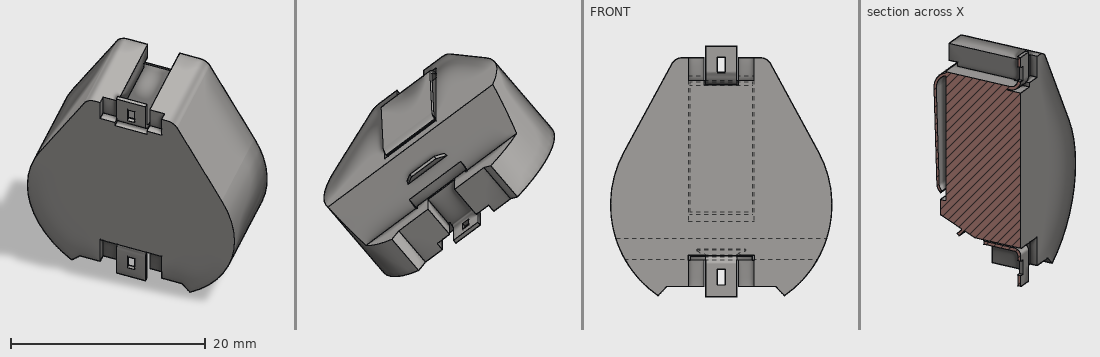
import cadquery as cq
import math


body_width = 22.76
round_radius = body_width / 2
round_centre_z = 9.45
body_depth = 9.5
body_top = 24.6
flank_angle = 28.5
shoulder_radius = 1.3
foot_z = 1.05
foot_half_width = 5.6
horn_tip_x = 6.5

slab_depth = 4.4
slope_low_z = 3.85
slope_high_z = 5.98

tab_sheet = 0.4
spring_sheet = 0.34
tab_width = 3.2
arm_width = 6.4
hole_width = 0.8
hole_height = 1.6
upper_tab_top = 25.78
upper_hole_z = 23.82
upper_bend_radius = 1.08
lower_hole_z = 2.04
lower_plate_top = 4.2
lower_bend_radius = 0.57
arm_back = 10.3
arm_bend_radius = 1.8
arm_tilt = 1.8
arm_length = 10.78
tail_radius = 1.03
tail_turn = 50
tip_end_y = 7.45
tip_end_z = 4.2
tip_angle = 48

notch_width = 3.5
recess_width = 6.75
recess_depth = 0.85
plate_start_y = 1.03
bend_relief_depth = 1.65
bend_relief_bottom = 21.78
ledge_z = 22.25
ledge_end_y = 8.92
window_top = 22.69
window_top_start_y = 8.5
window_bottom = 7.73
slot_clearance = 0.08

upper_leg_bottom = ledge_z - tab_sheet
lower_plate_bottom = lower_plate_top - tab_sheet
lower_plate_mid = lower_plate_top - tab_sheet / 2
slot_top = lower_plate_top + slot_clearance
arm_bend_y = arm_back - spring_sheet / 2 - arm_bend_radius


def block(width, y_range, z_range):
    """Box centred on X = 0."""
    y0, y1 = y_range
    z0, z1 = z_range
    return cq.Workplane("XY").box(width, y1 - y0, z1 - z0, (True, False, False)).translate((0, y0, z0))


def strip(width, sheet, path, start_plane):
    """Sheet-metal strip that follows a path in YZ, starting square to the given plane."""
    start = path.val().startPoint().toTuple()
    return cq.Workplane(start_plane, origin=start).rect(width, sheet).sweep(path)


def housing():
    flank = math.radians(flank_angle)
    flank_x = round_radius * math.cos(flank)
    flank_z = round_centre_z + round_radius * math.sin(flank)
    shoulder_x = flank_x - (body_top - flank_z) * math.tan(flank)
    horn_tip_z = round_centre_z - math.sqrt(round_radius**2 - horn_tip_x**2)

    body = (
        cq.Workplane("XZ")
        .moveTo(-foot_half_width, foot_z)
        .lineTo(foot_half_width, foot_z)
        .lineTo(horn_tip_x, horn_tip_z)
        .threePointArc((round_radius, round_centre_z), (flank_x, flank_z))
        .lineTo(shoulder_x, body_top)
        .lineTo(-shoulder_x, body_top)
        .lineTo(-flank_x, flank_z)
        .threePointArc((-round_radius, round_centre_z), (-horn_tip_x, horn_tip_z))
        .close()
        .extrude(-body_depth)
    )
    body = body.edges("|Y").edges(">Z").fillet(shoulder_radius)

    slope_cut = (
        cq.Workplane("YZ")
        .polyline([
            (slab_depth, 0),
            (slab_depth, slope_low_z),
            (body_depth, slope_high_z),
            (body_depth, 0),
        ])
        .close()
        .extrude(round_radius, both=True)
    )
    return body.cut(slope_cut)


def upper_openings():
    recess = block(recess_width, (0, recess_depth), (ledge_z, body_top))
    notch = block(notch_width, (0, body_depth), (ledge_z, body_top))
    bend_relief = block(notch_width, (0, bend_relief_depth), (bend_relief_bottom, ledge_z))
    window = block(recess_width, (ledge_end_y, body_depth), (window_bottom, window_top))
    window_head = block(recess_width, (window_top_start_y, body_depth), (ledge_z, window_top))
    return recess.union(notch).union(bend_relief).union(window).union(window_head)


def lower_openings():
    recess = block(recess_width, (0, recess_depth), (0, slot_top))
    slot = block(recess_width, (0, body_depth), (lower_plate_bottom, slot_top))
    notch = block(notch_width, (0, body_depth), (0, lower_plate_bottom))
    return recess.union(slot).union(notch)


def tab_hole(centre_z):
    half = hole_height / 2
    return block(hole_width, (0, tab_sheet), (centre_z - half, centre_z + half))


def upper_contact():
    tab_mid = tab_sheet / 2
    leg_mid = upper_leg_bottom + tab_mid
    tab_path = (
        cq.Workplane("YZ")
        .moveTo(tab_mid, upper_tab_top)
        .lineTo(tab_mid, leg_mid + upper_bend_radius)
        .tangentArcPoint((tab_mid + upper_bend_radius, leg_mid), relative=False)
        .lineTo(bend_relief_depth, leg_mid)
    )
    tab = strip(tab_width, tab_sheet, tab_path.wire(), "XY").cut(tab_hole(upper_hole_z))
    return tab.union(spring_arm())


def spring_arm():
    """Arm that leaves the ledge, bends down behind the housing and dips into the window."""
    start_z = upper_leg_bottom + spring_sheet / 2
    tilt = math.radians(arm_tilt)
    tail = math.radians(arm_tilt + tail_turn)
    bend_end_y = arm_bend_y + arm_bend_radius * math.cos(tilt)
    bend_end_z = start_z - arm_bend_radius * (1 + math.sin(tilt))
    arm_end_y = bend_end_y - arm_length * math.sin(tilt)
    arm_end_z = bend_end_z - arm_length * math.cos(tilt)
    arm_path = (
        cq.Workplane("YZ")
        .moveTo(arm_bend_y, start_z)
        .threePointArc(
            (arm_bend_y + arm_bend_radius * math.sin(math.pi / 4),
             start_z - arm_bend_radius * (1 - math.cos(math.pi / 4))),
            (bend_end_y, bend_end_z),
        )
        .lineTo(arm_end_y, arm_end_z)
        .tangentArcPoint(
            (arm_end_y - tail_radius * (math.cos(tilt) - math.cos(tail)),
             arm_end_z - tail_radius * (math.sin(tail) - math.sin(tilt))),
            relative=False,
        )
    )
    return strip(arm_width, spring_sheet, arm_path.wire(), "XZ")


def lower_contact():
    tab_mid = tab_sheet / 2
    bend_end_y = tab_mid + lower_bend_radius
    tab_path = (
        cq.Workplane("YZ")
        .moveTo(tab_mid, 0)
        .lineTo(tab_mid, lower_plate_mid - lower_bend_radius)
        .tangentArcPoint((bend_end_y, lower_plate_mid), relative=False)
        .lineTo(slab_depth, lower_plate_mid)
    )
    tab = strip(tab_width, tab_sheet, tab_path.wire(), "XY").cut(tab_hole(lower_hole_z))
    plate = block(arm_width, (plate_start_y, slab_depth), (lower_plate_bottom, lower_plate_top))
    return tab.union(plate).union(spring_tip())


def spring_tip():
    """Tapered spring end that comes out of the sloped face, with 45-degree sides."""
    base_half = arm_width / 2
    end_half = tab_width / 2
    length = base_half - end_half
    return (
        cq.Workplane("XY")
        .polyline([(-end_half, 0), (end_half, 0), (base_half, -length), (-base_half, -length)])
        .close()
        .extrude(spring_sheet / 2, both=True)
        .rotate((0, 0, 0), (1, 0, 0), -tip_angle)
        .translate((0, tip_end_y, tip_end_z))
    )


result = (
    housing()
    .cut(upper_openings())
    .cut(lower_openings())
    .union(upper_contact())
    .union(lower_contact())
)